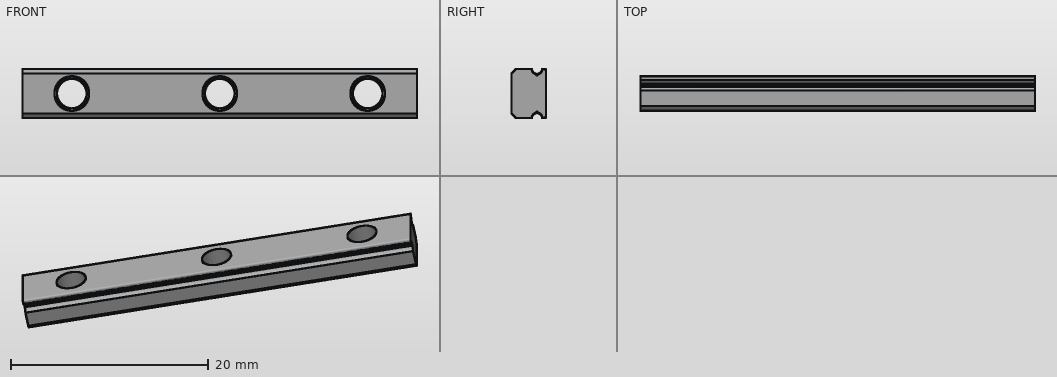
import cadquery as cq
import math

length = 40.0
depth = 3.5
height = 5.0
front_chamfer = 0.5
back_fillet = 0.2

groove_from_back = 0.9
groove_radius = 0.5
relief_half_width = 0.15

hole_pitch = 15.0
hole_count = 3
hole_diameter = 3.0
hole_mouth_diameter = 3.5

back_y = depth / 2
front_y = -depth / 2
groove_y = back_y - groove_from_back


def rail_body():
    """Rectangular bar with chamfered long front edges and rounded long back edges."""
    bar = cq.Workplane("XY").box(length, depth, height)
    bar = bar.faces("<Y").edges("|X").chamfer(front_chamfer)
    return bar.faces(">Y").edges("|X").fillet(back_fillet)


def groove_cutter(side):
    """Groove along the top (side = 1) or bottom (side = -1) face."""
    face_z = side * height / 2
    arc_depth = math.sqrt(groove_radius**2 - relief_half_width**2)
    arc_center = (groove_y, face_z)
    round_groove = (
        cq.Workplane("YZ").center(*arc_center).circle(groove_radius).extrude(length / 2, both=True)
    )
    relief = (
        cq.Workplane("YZ")
        .center(*arc_center)
        .polyline([
            (-relief_half_width, 0),
            (-relief_half_width, -side * arc_depth),
            (0, -side * (arc_depth + relief_half_width)),
            (relief_half_width, -side * arc_depth),
            (relief_half_width, 0),
        ])
        .close()
        .extrude(length / 2, both=True)
    )
    return round_groove.union(relief)


def hole_cutter(x):
    """Through hole with a 45 degree chamfered mouth on the front face."""
    hole_radius = hole_diameter / 2
    mouth_radius = hole_mouth_diameter / 2
    mouth_depth = mouth_radius - hole_radius
    return (
        cq.Workplane("XY")
        .polyline([
            (x, front_y),
            (x + mouth_radius, front_y),
            (x + hole_radius, front_y + mouth_depth),
            (x + hole_radius, back_y),
            (x, back_y),
        ])
        .close()
        .revolve(360, (x, front_y), (x, back_y))
    )


result = rail_body()
for side in (1, -1):
    result = result.cut(groove_cutter(side))
for index in range(hole_count):
    hole_x = (index - (hole_count - 1) / 2) * hole_pitch
    result = result.cut(hole_cutter(hole_x))